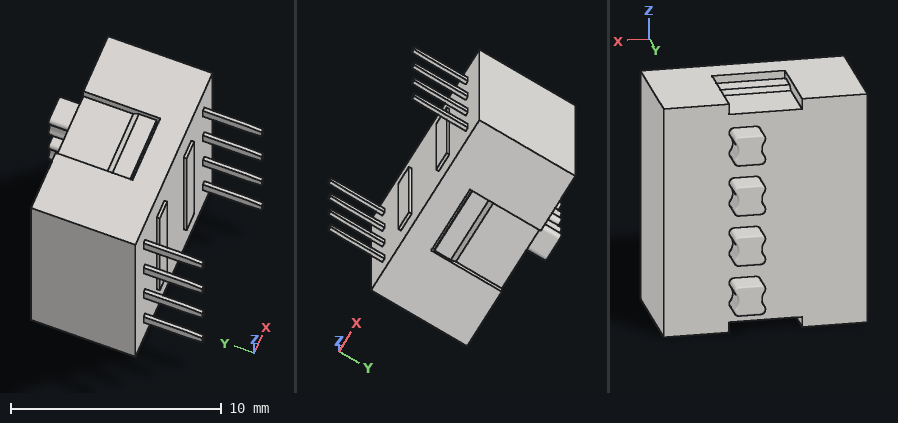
import cadquery as cq
import math


HOUSING_WIDTH = 9.9
HOUSING_DEPTH = 5.35
HOUSING_HEIGHT = 11.58

SWITCH_COUNT = 4
SWITCH_PITCH = 2.54

RIB_WIDTH = 0.97
RIB_LENGTH = 7.42
RIB_HEIGHT = 0.15
RIB_SPACING = 3.45

RECESS_WIDTH = 3.54
RECESS_LENGTH = 3.94
RECESS_DEPTH = 0.52
LATCH_DEPTH = 0.32
LATCH_RAMP_START = 2.56
LATCH_RAMP_END = 2.85
LATCH_END = 3.75

BUTTON_SIZE = 1.53
BUTTON_HEIGHT = 1.2
BUTTON_CORNER_RADIUS = 0.24
BUTTON_SCOOP_RADIUS = 0.64
BUTTON_EDGE_FILLET = 0.12
BUTTON_X = RECESS_WIDTH / 2 - BUTTON_SIZE / 2

PIN_ROW_SPACING = 7.62
PIN_THICKNESS = 0.2
PIN_WIDTH = 0.58
PIN_LENGTH = 3.0
PIN_TIP_WIDTH = 0.44
PIN_TAPER_LENGTH = 0.8


def switch_heights():
    """Z of each switch position, spread evenly about the middle."""
    return [(i - (SWITCH_COUNT - 1) / 2) * SWITCH_PITCH for i in range(SWITCH_COUNT)]


def make_recess_cutter():
    """Volume removed from the top end: a step open to the back face, less its latch ridge."""
    top = HOUSING_HEIGHT / 2
    floor = top - RECESS_DEPTH
    latch = top - LATCH_DEPTH
    back = HOUSING_DEPTH
    profile = [
        (back, top),
        (back, floor),
        (back - LATCH_RAMP_START, floor),
        (back - LATCH_RAMP_END, latch),
        (back - LATCH_END, latch),
        (back - LATCH_END, floor),
        (back - RECESS_LENGTH, floor),
        (back - RECESS_LENGTH, top),
    ]
    return cq.Workplane("YZ").polyline(profile).close().extrude(RECESS_WIDTH / 2, both=True)


def make_ribs():
    """Two long, low ribs on the front face."""
    return (
        cq.Workplane("XZ")
        .pushPoints([(-RIB_SPACING / 2, 0), (RIB_SPACING / 2, 0)])
        .rect(RIB_WIDTH, RIB_LENGTH)
        .extrude(RIB_HEIGHT)
    )


def make_button():
    """Button centred on the Y axis: rounded corners that flow into scooped left and right sides."""
    half = BUTTON_SIZE / 2
    corner = half - BUTTON_CORNER_RADIUS
    centre_distance = BUTTON_CORNER_RADIUS + BUTTON_SCOOP_RADIUS
    tangent_angle = math.asin(corner / centre_distance)
    tangent_x = corner + BUTTON_CORNER_RADIUS * math.cos(tangent_angle)
    tangent_z = corner - BUTTON_CORNER_RADIUS * math.sin(tangent_angle)
    scoop_x = corner + centre_distance * math.cos(tangent_angle) - BUTTON_SCOOP_RADIUS
    middle_angle = (math.pi / 2 - tangent_angle) / 2
    middle_x = corner + BUTTON_CORNER_RADIUS * math.cos(middle_angle)
    middle_z = corner + BUTTON_CORNER_RADIUS * math.sin(middle_angle)

    return (
        cq.Workplane("XZ", origin=(0, HOUSING_DEPTH, 0))
        .moveTo(-corner, half)
        .lineTo(corner, half)
        .threePointArc((middle_x, middle_z), (tangent_x, tangent_z))
        .threePointArc((scoop_x, 0), (tangent_x, -tangent_z))
        .threePointArc((middle_x, -middle_z), (corner, -half))
        .lineTo(-corner, -half)
        .threePointArc((-middle_x, -middle_z), (-tangent_x, -tangent_z))
        .threePointArc((-scoop_x, 0), (-tangent_x, tangent_z))
        .threePointArc((-middle_x, middle_z), (-corner, half))
        .close()
        .extrude(-BUTTON_HEIGHT)
        .faces(">Y")
        .edges()
        .fillet(BUTTON_EDGE_FILLET)
    )


def make_housing():
    """Block with end recesses, ribs on the front and a row of buttons on the back."""
    block = cq.Workplane("XZ").rect(HOUSING_WIDTH, HOUSING_HEIGHT).extrude(-HOUSING_DEPTH)
    recess = make_recess_cutter()
    housing = block.cut(recess).cut(recess.mirror("XY")).union(make_ribs())
    button = make_button()
    for z in switch_heights():
        housing = housing.union(button.translate((BUTTON_X, 0, z)))
    return housing


def make_pin(x, z):
    """Flat pin standing on the front face, narrowing towards its tip."""
    taper_start = -(PIN_LENGTH - PIN_TAPER_LENGTH)
    outline = [
        (0, PIN_WIDTH / 2),
        (taper_start, PIN_WIDTH / 2),
        (-PIN_LENGTH, PIN_TIP_WIDTH / 2),
        (-PIN_LENGTH, -PIN_TIP_WIDTH / 2),
        (taper_start, -PIN_WIDTH / 2),
        (0, -PIN_WIDTH / 2),
    ]
    blank = cq.Workplane("YZ").polyline(outline).close().extrude(PIN_THICKNESS / 2, both=True)
    return blank.translate((x, 0, z))


housing = make_housing()
pins = [make_pin(x, z) for x in (-PIN_ROW_SPACING / 2, PIN_ROW_SPACING / 2) for z in switch_heights()]

result = cq.Compound.makeCompound([housing.val(), *[pin.val() for pin in pins]])